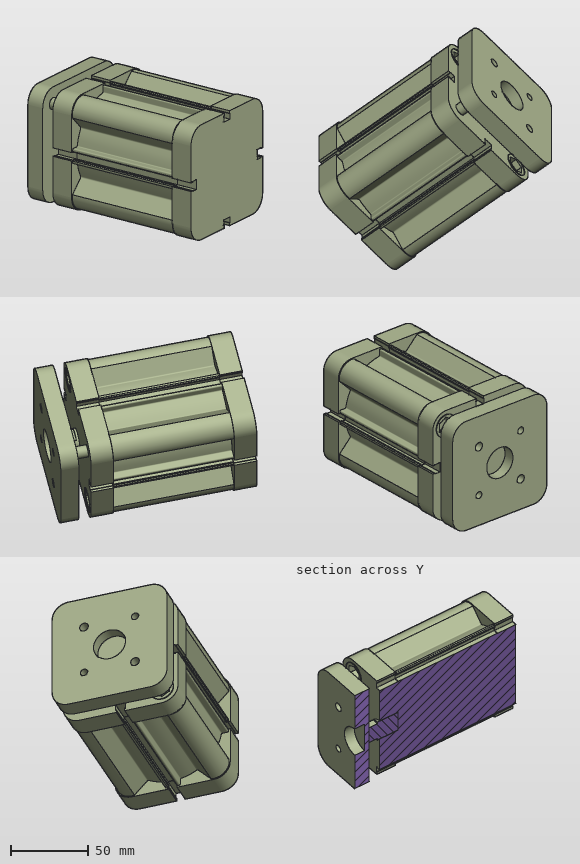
import cadquery as cq
import math

total_length = 130.0
plate_thickness = 12.0
gap_to_housing = 8.0
cap_length = 15.0
cap_front_x = plate_thickness + gap_to_housing
profile_length = total_length - cap_front_x - 2 * cap_length
profile_front_x = cap_front_x + cap_length
cap_rear_x = profile_front_x + profile_length

side = 79.5
corner_radius = 11.5
corner_offset = side / 2 - corner_radius

plate_recess_diameter = 22.1
plate_recess_depth = 7.9
bolt_circle_diameter = 49.9
bolt_offset = bolt_circle_diameter / 2 * math.sin(math.radians(45))
clearance_hole_diameter = 6.0
thread_hole_diameter = 5.0

guide_rod_diameter = 8.0
piston_rod_diameter = 15.9
piston_rod_chamfer = 0.5
flats_width = 13.0
flats_length = 6.4
rod_end_x = profile_front_x

barrel_radius = 34.0
lobe_radius = 10.7
lobe_edge = 26.5
valley_radius = 1.0

rail_width = 10.4
rail_top = 38.6
rail_edge_radius = 0.9
rail_root_radius = 0.8

slot_opening = 5.8
slot_width = 6.8
slot_lip = 2.0
slot_floor = 33.8

barrel_slot_opening = 5.3
barrel_slot_width = 6.5
barrel_slot_lip = 1.5
barrel_slot_floor = 34.0
barrel_slot_bevel = 0.6

socket_recess_diameter = 16.4
socket_recess_depth = 0.5
socket_across_flats = 10.7
socket_depth = 6.0

guide_diagonal = [(-1, 1), (1, -1)]
socket_diagonal = [(1, 1), (-1, -1)]


def section(x):
    """Sketch plane across the X axis: local x is Y, local y is Z, extrusion runs along +X."""
    return cq.Workplane("YZ", origin=(x, 0, 0))


def corner_points(corners, offset):
    return [(y * offset, z * offset) for y, z in corners]


def rounded_block(x, length):
    return section(x).rect(side, side).extrude(length).edges("|X").fillet(corner_radius)


def rod(x, length, diameter, centre=(0, 0)):
    return section(x).center(*centre).circle(diameter / 2).extrude(length)


def make_plate():
    plate = rounded_block(0, plate_thickness)
    plate = plate.cut(rod(0, plate_recess_depth, plate_recess_diameter))
    for point in corner_points(socket_diagonal, bolt_offset):
        plate = plate.cut(rod(0, plate_thickness, clearance_hole_diameter, point))
    for point in corner_points(guide_diagonal, bolt_offset):
        plate = plate.cut(rod(0, plate_thickness, thread_hole_diameter, point))
    return plate


def make_piston_rod():
    piston_rod = rod(plate_thickness, rod_end_x - plate_thickness, piston_rod_diameter)
    piston_rod = piston_rod.faces("<X").chamfer(piston_rod_chamfer)
    cutter = section(plate_thickness).rect(side, side).rect(side, flats_width).extrude(flats_length)
    return piston_rod.cut(cutter)


def make_guide_rod(point):
    return rod(plate_thickness, rod_end_x - plate_thickness, guide_rod_diameter, point)


def quarter_turns(shape):
    """The shape and its copies on the other three sides."""
    return [shape.rotate((0, 0, 0), (1, 0, 0), 90 * turn) for turn in range(4)]


def make_lobe():
    lobe_height = corner_offset + math.sqrt(lobe_radius**2 - (corner_offset - lobe_edge) ** 2)
    reach = corner_offset + lobe_radius * math.sin(math.radians(45))
    flat_shift = lobe_height - lobe_edge
    return (
        section(profile_front_x)
        .moveTo(0, flat_shift)
        .lineTo(lobe_edge, lobe_height)
        .threePointArc((reach, reach), (lobe_height, lobe_edge))
        .lineTo(flat_shift, 0)
        .close()
        .extrude(profile_length)
    )


def make_rail():
    rail = section(profile_front_x).center(0, rail_top / 2).rect(rail_width, rail_top).extrude(profile_length)
    return rail.edges("|X and >Z").fillet(rail_edge_radius)


def make_barrel():
    barrel = rod(profile_front_x, profile_length, 2 * barrel_radius)
    for lobe in quarter_turns(make_lobe()):
        barrel = barrel.union(lobe)
    valleys = ValleySelector()
    barrel = barrel.edges(valleys).fillet(valley_radius)
    for rail in quarter_turns(make_rail()):
        barrel = barrel.union(rail)
    return barrel.edges(RootSelector()).fillet(rail_root_radius)


class ValleySelector(cq.Selector):
    def filter(self, objs):
        return [o for o in objs if o.geomType() == "LINE" and abs(math.hypot(o.Center().y, o.Center().z) - barrel_radius) < 0.01 and min(abs(o.Center().y), abs(o.Center().z)) > 6.5]


class RootSelector(cq.Selector):
    def filter(self, objs):
        return [o for o in objs if o.geomType() == "LINE" and abs(math.hypot(o.Center().y, o.Center().z) - barrel_radius) < 0.01 and abs(min(abs(o.Center().y), abs(o.Center().z)) - rail_width / 2) < 0.01]


def make_slot(x, length, floor, top, lip, width, opening):
    """T-shaped slot on the +Z side, narrow for the depth of its lip and wide below it."""
    depth = top - floor
    narrow = section(x).center(0, floor + depth / 2).rect(opening, depth).extrude(length)
    wide_depth = depth - lip
    wide = section(x).center(0, floor + wide_depth / 2).rect(width, wide_depth).extrude(length)
    return narrow.union(wide)


def make_cap_slot(x):
    return make_slot(x, cap_length, slot_floor, side / 2, slot_lip, slot_width, slot_opening)


def make_barrel_slot():
    slot = make_slot(
        profile_front_x,
        profile_length,
        barrel_slot_floor,
        rail_top,
        barrel_slot_lip,
        barrel_slot_width,
        barrel_slot_opening,
    )
    half = barrel_slot_opening / 2
    bevelled_entry = (
        section(profile_front_x)
        .moveTo(-half, rail_top - barrel_slot_bevel)
        .lineTo(half, rail_top - barrel_slot_bevel)
        .lineTo(half + barrel_slot_bevel, rail_top)
        .lineTo(-half - barrel_slot_bevel, rail_top)
        .close()
        .extrude(profile_length)
    )
    return slot.union(bevelled_entry)


def make_socket(point):
    recess = rod(cap_front_x, socket_recess_depth, socket_recess_diameter, point)
    corner_circle = socket_across_flats / math.cos(math.radians(30))
    hexagon = section(cap_front_x).center(*point).transformed(rotate=(0, 0, 90)).polygon(6, corner_circle)
    return recess.union(hexagon.extrude(socket_recess_depth + socket_depth))


def make_housing():
    housing = rounded_block(cap_front_x, cap_length)
    housing = housing.union(make_barrel()).union(rounded_block(cap_rear_x, cap_length))
    for slot in [make_cap_slot(cap_front_x), make_barrel_slot(), make_cap_slot(cap_rear_x)]:
        for turned_slot in quarter_turns(slot):
            housing = housing.cut(turned_slot)
    for point in corner_points(socket_diagonal, corner_offset):
        housing = housing.cut(make_socket(point))
    housing = housing.cut(rod(cap_front_x, cap_length, piston_rod_diameter))
    for point in corner_points(guide_diagonal, corner_offset):
        housing = housing.cut(rod(cap_front_x, cap_length, guide_rod_diameter, point))
    return housing


plate = make_plate()
piston_rod = make_piston_rod()
guide_rods = [make_guide_rod(point) for point in corner_points(guide_diagonal, corner_offset)]
housing = make_housing()

result = cq.Compound.makeCompound(
    [plate.val(), piston_rod.val(), *[guide_rod.val() for guide_rod in guide_rods], housing.val()]
)